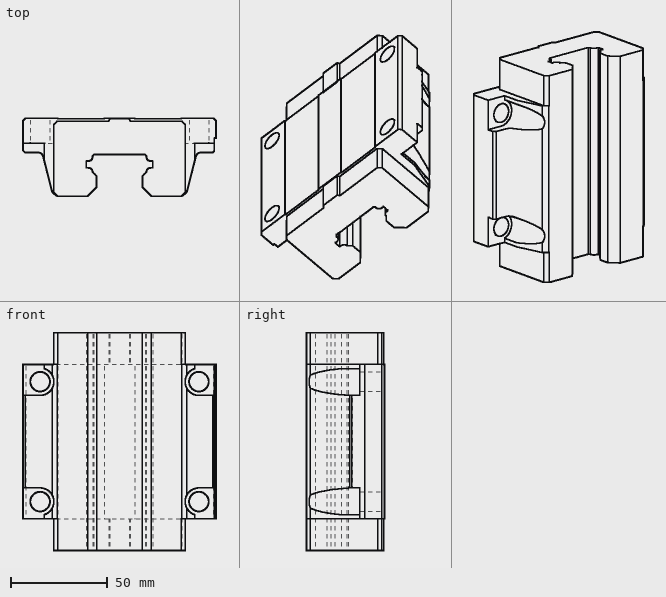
import cadquery as cq
import math

LENGTH = 112.7
WIDTH = 100.0
HEIGHT = 40.5
BLOCK_LENGTH = 79.9

FLANGE_BOTTOM = 22.5
FLANGE_TOP_CHAMFER = 1.5
FLANGE_LEFT_CHAMFER = 1.2
FLANGE_RIGHT_CHAMFER = 0.9
FLANGE_FILLET = 2.6
RELIEF_DEPTH = 0.9
RELIEF_TOP = 30.1
SKIRT_ROOT_X = 40.0
SKIRT_FOOT_X = 34.8
SKIRT_FOOT_Y = 2.1
SKIRT_BASE_X = 32.2

RECESS_INNER_X = 8.0
RECESS_OUTER_X = 31.9
RECESS_DEPTH = 0.3

CAP_WIDTH = 68.1
CAP_TOP = 38.9
CAP_TOP_CHAMFER = 1.9
CAP_BOTTOM_CHAMFER = 2.1
CAP_PAD_TOP = HEIGHT - RECESS_DEPTH
CAP_PAD_TOP_X = 5.0
CAP_PAD_BASE_X = 5.6

CHANNEL_MOUTH_X = 16.5
CHANNEL_WALL_X = 11.8
CHANNEL_ROOF_Y = 21.5
ROOF_CHAMFER = 0.7
LIP_TOP_Y = 10.5
GROOVE_X = 17.1
GROOVE_BOTTOM_Y = 14.8
GROOVE_TOP_Y = 18.1
LOBE_RADIUS = 2.3
LOBE_FACE_X = 13.9

HOLE_SPACING_X = 82.0
HOLE_SPACING_Z = 62.0
HOLE_DIAMETER = 10.0
POCKET_RADIUS = 7.1
POCKET_CEILING_Y = 27.5
POCKET_END_WALL_X = 38.8


def extrude_centred(profile, length):
    """Extrude an XY profile along Z, centred on Z = 0."""
    return profile.extrude(length / 2, both=True)


def box_between(x, y, z):
    """Axis-aligned box from three (start, end) pairs."""
    size = [abs(end - start) for start, end in (x, y, z)]
    corner = [min(pair) for pair in (x, y, z)]
    return cq.Workplane("XY").box(*size, centered=False).translate(tuple(corner))


def make_block():
    side = WIDTH / 2
    relief_x = side - RELIEF_DEPTH
    profile = cq.Workplane("XY").polyline([
        (-SKIRT_BASE_X, 0),
        (-SKIRT_FOOT_X, SKIRT_FOOT_Y),
        (-SKIRT_ROOT_X, FLANGE_BOTTOM),
        (-side + FLANGE_LEFT_CHAMFER, FLANGE_BOTTOM),
        (-side, FLANGE_BOTTOM + FLANGE_LEFT_CHAMFER),
        (-side, HEIGHT - FLANGE_TOP_CHAMFER),
        (-side + FLANGE_TOP_CHAMFER, HEIGHT),
        (side - FLANGE_TOP_CHAMFER, HEIGHT),
        (side, HEIGHT - FLANGE_TOP_CHAMFER),
        (side, RELIEF_TOP),
        (relief_x, RELIEF_TOP),
        (relief_x, FLANGE_BOTTOM + FLANGE_RIGHT_CHAMFER),
        (relief_x - FLANGE_RIGHT_CHAMFER, FLANGE_BOTTOM),
        (SKIRT_ROOT_X, FLANGE_BOTTOM),
        (SKIRT_FOOT_X, SKIRT_FOOT_Y),
        (SKIRT_BASE_X, 0),
    ]).close()
    block = extrude_centred(profile, BLOCK_LENGTH)
    half_length = BLOCK_LENGTH / 2
    for side_sign in (-1, 1):
        root = cq.selectors.NearestToPointSelector((side_sign * SKIRT_ROOT_X, FLANGE_BOTTOM, 0))
        block = block.edges("|Z").edges(root).fillet(FLANGE_FILLET)
        recess = box_between(
            (side_sign * RECESS_INNER_X, side_sign * RECESS_OUTER_X),
            (HEIGHT - RECESS_DEPTH, HEIGHT),
            (-half_length, half_length),
        )
        block = block.cut(recess)
    return block


def make_mounting_cut(side_sign, end_sign):
    """Through hole plus the pocket that opens to the flange side, the underside and the block end."""
    hole_x = side_sign * HOLE_SPACING_X / 2
    hole_z = end_sign * HOLE_SPACING_Z / 2
    outer_x = side_sign * WIDTH / 2
    end_z = end_sign * BLOCK_LENGTH / 2
    depth = (0, POCKET_CEILING_Y)

    def cylinder(radius, height):
        return cq.Workplane("XZ", origin=(hole_x, 0, hole_z)).circle(radius).extrude(-height)

    inner_edge_z = hole_z - end_sign * POCKET_RADIUS
    outboard = box_between((hole_x, outer_x), depth, (inner_edge_z, end_z))
    end_opening = box_between((side_sign * POCKET_END_WALL_X, outer_x), depth, (hole_z, end_z))
    return (
        cylinder(HOLE_DIAMETER / 2, HEIGHT)
        .union(cylinder(POCKET_RADIUS, POCKET_CEILING_Y))
        .union(outboard)
        .union(end_opening)
    )


def make_cap_body():
    """Full-length body whose ends project from the block as the two end caps."""
    side = CAP_WIDTH / 2
    right_half = [
        (side - CAP_BOTTOM_CHAMFER, 0),
        (side, CAP_BOTTOM_CHAMFER),
        (side, CAP_TOP - CAP_TOP_CHAMFER),
        (side - CAP_TOP_CHAMFER, CAP_TOP),
        (CAP_PAD_BASE_X, CAP_TOP),
        (CAP_PAD_TOP_X, CAP_PAD_TOP),
    ]
    left_half = [(-x, y) for x, y in reversed(right_half)]
    return extrude_centred(cq.Workplane("XY").polyline(right_half + left_half).close(), LENGTH)


def make_channel():
    """Rail channel with a ball groove between two rounded lobes on each side."""
    lobe_x = LOBE_FACE_X + LOBE_RADIUS
    lower_lobe_y = GROOVE_BOTTOM_Y - LOBE_RADIUS
    upper_lobe_y = GROOVE_TOP_Y + LOBE_RADIUS
    arc_offset = LOBE_RADIUS * math.sqrt(0.5)
    lip_bottom_y = CHANNEL_MOUTH_X - CHANNEL_WALL_X
    right_half = (
        cq.Workplane("XY")
        .moveTo(0, 0)
        .lineTo(CHANNEL_MOUTH_X, 0)
        .lineTo(CHANNEL_WALL_X, lip_bottom_y)
        .lineTo(CHANNEL_WALL_X, LIP_TOP_Y)
        .lineTo(LOBE_FACE_X, lower_lobe_y)
        .threePointArc((lobe_x - arc_offset, lower_lobe_y + arc_offset), (lobe_x, GROOVE_BOTTOM_Y))
        .lineTo(GROOVE_X, GROOVE_BOTTOM_Y)
        .lineTo(GROOVE_X, GROOVE_TOP_Y)
        .lineTo(lobe_x, GROOVE_TOP_Y)
        .threePointArc((lobe_x - arc_offset, upper_lobe_y - arc_offset), (LOBE_FACE_X, upper_lobe_y))
        .lineTo(LOBE_FACE_X, CHANNEL_ROOF_Y - ROOF_CHAMFER)
        .lineTo(LOBE_FACE_X - ROOF_CHAMFER, CHANNEL_ROOF_Y)
        .lineTo(0, CHANNEL_ROOF_Y)
        .close()
    )
    half_channel = extrude_centred(right_half, LENGTH)
    return half_channel.union(half_channel.mirror("YZ"))


result = make_block().union(make_cap_body()).cut(make_channel())
for side_sign in (-1, 1):
    for end_sign in (-1, 1):
        result = result.cut(make_mounting_cut(side_sign, end_sign))